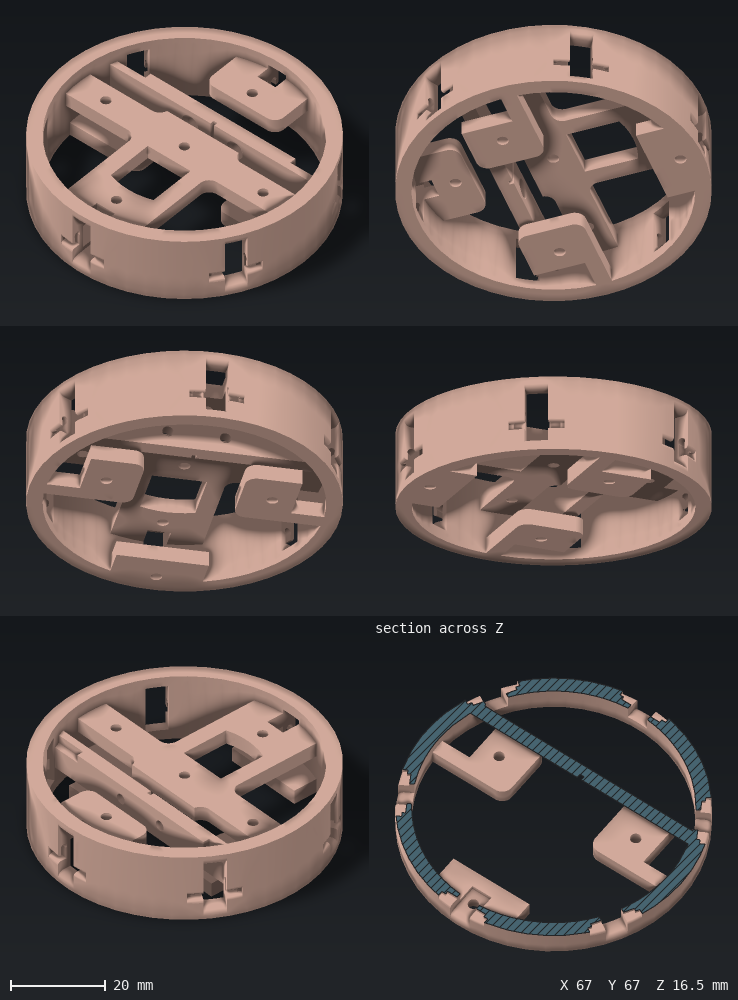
import cadquery as cq
import math

outer_radius = 33.5
inner_radius = 30.0
ring_height = 16.5

plate_thickness = 3.5
upper_plate_top = 13.0
upper_plate_bottom = upper_plate_top - plate_thickness
hole_diameter = 2.5
plate_corner_radius = 2.5
stem_half_width = 10.0

arm_half_width = 3.95
hub_back_y = 5.95
mount_hole_pitch = 22.0
opening_half_width = 5.95
opening_back_y = -4.95
opening_arc_radius = 17.95
front_notch_y = -25.45

back_pad_front_y = 18.1
back_notch_y = 26.5

bar_front_y = 9.05
bar_back_y = 12.45
bar_bottom = 5.6
bar_mid_z = (bar_bottom + upper_plate_top) / 2
key_slot_width = 1.0
key_slot_depth = 1.0
step_start_x = 20.25
step_front_y = 10.8
step_depth = 2.0
bar_screw_x = 6.2
countersink_diameter = 4.5
countersink_angle = 110

foot_inner_x = 11.0
foot_outer_x = 22.85
foot_front_y = -2.5
foot_back_y = bar_back_y
foot_arm_back_y = 1.1
foot_hole_x = 17.95
foot_hole_y = (foot_front_y + foot_back_y) / 2
front_foot_back_y = -22.1
front_foot_hole_y = -28.55

window_count = 6
window_width = 5.0
window_margin = 1.0
window_lip_radius = 1.5
window_bottom = window_margin + window_lip_radius
window_top = ring_height - window_bottom
axle_radial_position = 31.75
axle_height = ring_height / 2
axle_seat_diameter = 1.75
axle_neck_width = 1.5
axle_seat_length = 10.0
entry_length = 12.0
entry_mid_z = 5.75
entry_lip_radius = 0.75
entry_bottom = entry_mid_z - axle_neck_width / 2
entry_top = entry_bottom + axle_neck_width

cut_clearance = 0.7
wall_overlap = 0.15

length_tolerance = 0.01


def block(x0, x1, y0, y1, z0, z1):
    """Axis-aligned box between two corners."""
    return cq.Workplane("XY").box(x1 - x0, y1 - y0, z1 - z0, centered=False).translate((x0, y0, z0))


def upright_hole(x, y, z0, z1):
    """Cylinder for a vertical screw hole."""
    return cq.Workplane("XY", origin=(x, y, z0)).circle(hole_diameter / 2).extrude(z1 - z0)


def plate_trim():
    """Disc that trims the plates, reaching slightly into the wall so that they join it."""
    return cq.Workplane("XY").circle(inner_radius + wall_overlap).extrude(ring_height)


def around_ring(cutter):
    """Copies of a cutter placed on +X, turned to every window position half a step off the X axis."""
    step = 360 / window_count
    return [cutter.rotate((0, 0, 0), (0, 0, 1), (i + 0.5) * step) for i in range(window_count)]


def round_lips(ring, heights, radius):
    """Round the outer horizontal edges found at the given heights."""
    def is_lip(edge):
        centre = edge.Center()
        box = edge.BoundingBox()
        on_outside = all(
            abs(math.hypot(v.X, v.Y) - outer_radius) < length_tolerance for v in edge.Vertices()
        )
        level = box.zlen < length_tolerance and any(abs(centre.z - z) < length_tolerance for z in heights)
        return on_outside and level

    lips = [edge for edge in ring.edges().vals() if is_lip(edge)]
    return ring.newObject(lips).fillet(radius)


def make_ring():
    """Plain ring with six wheel windows, each with an axle entry and snap seats."""
    ring = cq.Workplane("XY").circle(outer_radius).circle(inner_radius).extrude(ring_height)

    entry = block(axle_radial_position, outer_radius + cut_clearance, -entry_length / 2, entry_length / 2,
                  entry_bottom, entry_top)
    for cutter in around_ring(entry):
        ring = ring.cut(cutter)
    ring = round_lips(ring, (entry_bottom, entry_top), entry_lip_radius)

    window = block(inner_radius - cut_clearance, outer_radius + cut_clearance,
                   -window_width / 2, window_width / 2, window_bottom, window_top)
    for cutter in around_ring(window):
        ring = ring.cut(cutter)
    ring = round_lips(ring, (window_bottom, window_top), window_lip_radius)

    channel = block(axle_radial_position - axle_neck_width / 2, axle_radial_position + axle_neck_width / 2,
                    -axle_seat_length / 2, axle_seat_length / 2, entry_bottom, axle_height)
    seat = (
        cq.Workplane("XZ", origin=(axle_radial_position, axle_seat_length / 2, axle_height))
        .circle(axle_seat_diameter / 2)
        .extrude(axle_seat_length)
    )
    for cutter in around_ring(channel.union(seat)):
        ring = ring.cut(cutter)
    return ring


def make_t_plate():
    """Upper plate: two side arms and a front stem with an arc-ended opening."""
    z0, z1 = upper_plate_bottom, upper_plate_top
    arms = block(-outer_radius, outer_radius, -arm_half_width, arm_half_width, z0, z1)
    stem = block(-stem_half_width, stem_half_width, -outer_radius, outer_radius, z0, z1)
    plate = arms.union(stem)
    inner_corners = cq.selectors.BoxSelector(
        (-inner_radius, -inner_radius, 0),
        (inner_radius, inner_radius, ring_height),
    )
    plate = plate.edges("|Z").edges(inner_corners).fillet(plate_corner_radius)

    plate = plate.cut(block(-outer_radius, outer_radius, hub_back_y, outer_radius, z0, z1))

    opening = block(-opening_half_width, opening_half_width, -outer_radius, opening_back_y, z0, z1)
    plate = plate.cut(opening.intersect(cq.Workplane("XY").circle(opening_arc_radius).extrude(ring_height)))
    plate = plate.cut(block(-window_width / 2, window_width / 2, -outer_radius, front_notch_y, z0, z1))
    for x, y in ((0, 0), (-mount_hole_pitch, 0), (mount_hole_pitch, 0), (0, -mount_hole_pitch)):
        plate = plate.cut(upright_hole(x, y, z0, z1))
    return plate


def make_back_pad():
    """Upper pad on the back wall, notched behind the back window."""
    z0, z1 = upper_plate_bottom, upper_plate_top
    pad = block(-stem_half_width, stem_half_width, back_pad_front_y, outer_radius, z0, z1)
    pad = pad.edges("|Z and <Y").fillet(plate_corner_radius)
    pad = pad.cut(block(-window_width / 2, window_width / 2, back_notch_y, outer_radius, z0, z1))
    return pad.cut(upright_hole(0, mount_hole_pitch, z0, z1))


def make_bar():
    """Upright bar with a key slot, stepped ends and two countersunk holes."""
    bar = block(-outer_radius, outer_radius, bar_front_y, bar_back_y, bar_bottom, upper_plate_top)
    bar = bar.cut(block(-key_slot_width / 2, key_slot_width / 2, bar_front_y, bar_front_y + key_slot_depth,
                        bar_bottom, upper_plate_top))
    step = block(step_start_x, outer_radius, step_front_y, bar_back_y,
                 upper_plate_top - step_depth, upper_plate_top)
    bar = bar.cut(step).cut(step.mirror("YZ"))

    return (
        bar.faces("<Y").workplane(origin=(0, bar_front_y, bar_mid_z))
        .pushPoints([(-bar_screw_x, 0), (bar_screw_x, 0)])
        .cskHole(hole_diameter, countersink_diameter, countersink_angle)
    )


def make_side_foot():
    """Foot on the +X side: a drilled pad tied to the wall by a short arm."""
    pad = block(foot_inner_x, foot_outer_x, foot_front_y, foot_back_y, 0, plate_thickness)
    pad = pad.edges("|Z and <X").fillet(plate_corner_radius)
    arm = block(foot_inner_x + plate_corner_radius, outer_radius, foot_front_y, foot_arm_back_y,
                0, plate_thickness)
    return pad.union(arm).cut(upright_hole(foot_hole_x, foot_hole_y, 0, plate_thickness))


def make_front_foot():
    """Lower plate on the front wall, drilled inside its window notch."""
    foot = block(-stem_half_width, stem_half_width, -outer_radius, front_foot_back_y, 0, plate_thickness)

    foot = foot.cut(block(-window_width / 2, window_width / 2, -outer_radius, front_notch_y,
                          window_bottom, plate_thickness))
    return foot.cut(upright_hole(0, front_foot_hole_y, 0, plate_thickness))


side_foot = make_side_foot()
plates = make_t_plate()
for plate in (make_back_pad(), make_bar(), side_foot, side_foot.mirror("YZ"), make_front_foot()):
    plates = plates.union(plate)

result = make_ring().union(plates.intersect(plate_trim()))